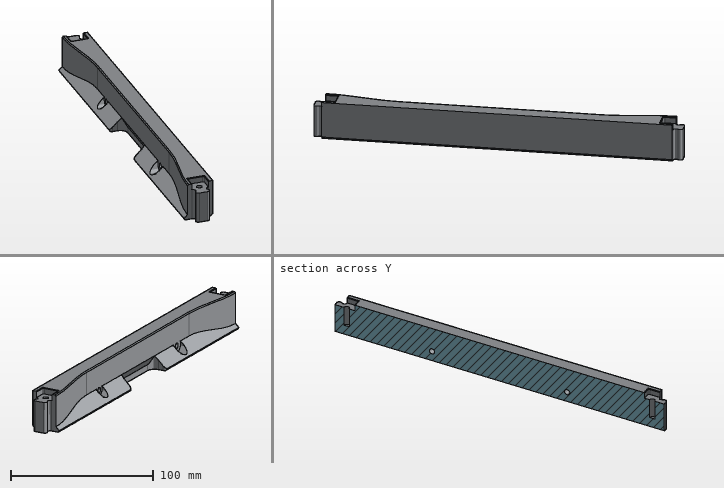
import cadquery as cq
import math


overall_length = 263.86
depth = 21.59
height = 27.5
body_half = 125.2
flat_half = 71.4

web_depth = 12.6
end_depth = 19.0
top_chamfer = 0.8
back_chamfer = 1.6

slope_top = 10.0
lip_height = 1.4
lip_undercut = 0.8
gap_half = 23.5
gap_depth = 10.0
gap_wall_height = 4.6
gap_corner_radius = 5.6
flange_corner_radius = 2.3

screw_x = 54.1
screw_z = 8.0
hole_diameter = 3.9
screw_hole_depth = 9.0
left_seat_diameter = 8.3
right_seat_diameter = 10.4

coupling_y = -9.4
pocket_floor = 22.9
pocket_width = 12.4
pocket_length = 9.0
pocket_corner = 1.0
pocket_chamfer = 0.5
pin_hole_inset = 2.8
pin_hole_y = -9.0
pin_hole_depth = 15.0
tab_flat_half = 3.2
tab_radius = 2.0
tab_overlap = 1.0


def mirrored_pair(solid):
    """Return the solid joined with its mirror image across the YZ plane."""
    return solid.union(solid.mirror("YZ"))


def make_web():
    """Tall bar whose front face swells outward in an S-curve at both ends."""
    along = (1, 0)
    web = (
        cq.Workplane("XY")
        .moveTo(-body_half, 0)
        .lineTo(-body_half, -end_depth)
        .spline([(-flat_half, -web_depth)], tangents=[along, along], includeCurrent=True)
        .lineTo(flat_half, -web_depth)
        .spline([(body_half, -end_depth)], tangents=[along, along], includeCurrent=True)
        .lineTo(body_half, 0)
        .close()
        .extrude(height)
    )
    front_top_edges = web.faces(">Z").edges("not |Y").edges("not >Y")
    return front_top_edges.chamfer(top_chamfer)


def make_flange():
    """Front foot with a sloping top, interrupted in the middle by a gap."""
    profile = (
        cq.Workplane("YZ")
        .moveTo(-gap_depth, 0)
        .lineTo(-depth + lip_undercut, 0)
        .lineTo(-depth, lip_height)
        .lineTo(-web_depth, slope_top)
        .lineTo(-gap_depth, slope_top)
        .close()
        .extrude(body_half)
    )
    plan = (
        cq.Workplane("XY")
        .moveTo(body_half, 0)
        .lineTo(body_half, -depth)
        .lineTo(gap_half + flange_corner_radius, -depth)
        .radiusArc((gap_half, -depth + flange_corner_radius), flange_corner_radius)
        .lineTo(gap_half, -gap_depth - gap_corner_radius)
        .lineTo(0, -gap_depth - gap_corner_radius)
        .lineTo(0, 0)
        .close()
        .extrude(slope_top)
    )
    return mirrored_pair(profile.intersect(plan))


def make_gap_recess():
    """Undercut below the web in the gap, with a sloping roof and rounded inner corners."""
    wall_half = gap_half - gap_corner_radius
    corner_end = -gap_depth - gap_corner_radius
    plan = (
        cq.Workplane("XY")
        .moveTo(-gap_half, -depth)
        .lineTo(-gap_half, corner_end)
        .radiusArc((-wall_half, -gap_depth), gap_corner_radius)
        .lineTo(wall_half, -gap_depth)
        .radiusArc((gap_half, corner_end), gap_corner_radius)
        .lineTo(gap_half, -depth)
        .close()
        .extrude(slope_top)
    )
    below_roof = (
        cq.Workplane("YZ", origin=(-gap_half, 0, 0))
        .moveTo(-gap_depth, 0)
        .lineTo(-gap_depth, gap_wall_height)
        .lineTo(-web_depth, slope_top)
        .lineTo(-depth, slope_top)
        .lineTo(-depth, 0)
        .close()
        .extrude(2 * gap_half)
    )
    return plan.intersect(below_roof)


def make_tab():
    """Coupling tab at the +X end: flat nose, round lobes and concave necks down to the body."""
    nose = overall_length / 2
    lobe = (nose - tab_radius, tab_flat_half)
    neck_x = body_half + tab_radius
    neck_y = lobe[1] + math.sqrt((2 * tab_radius) ** 2 - (lobe[0] - neck_x) ** 2)
    junction = ((lobe[0] + neck_x) / 2, (lobe[1] + neck_y) / 2)
    return (
        cq.Workplane("XY", origin=(0, coupling_y, 0))
        .moveTo(body_half - tab_overlap, -neck_y)
        .lineTo(body_half, -neck_y)
        .radiusArc((junction[0], -junction[1]), tab_radius)
        .radiusArc((nose, -tab_flat_half), -tab_radius)
        .lineTo(nose, tab_flat_half)
        .radiusArc(junction, -tab_radius)
        .radiusArc((body_half, neck_y), tab_radius)
        .lineTo(body_half - tab_overlap, neck_y)
        .close()
        .extrude(pocket_floor)
    )


def make_end_pocket():
    """Open-ended pocket above the tab at the +X end, with a chamfered rim."""
    rim_height = height - pocket_chamfer
    pocket = (
        cq.Workplane("XY", origin=(body_half, coupling_y, pocket_floor))
        .rect(2 * pocket_length, pocket_width)
        .extrude(height - pocket_floor)
        .edges("|Z")
        .fillet(pocket_corner)
    )
    rim = (
        cq.Workplane("XY", origin=(body_half, coupling_y, rim_height))
        .rect(2 * pocket_length, pocket_width)
        .workplane(offset=pocket_chamfer)
        .rect(2 * (pocket_length + pocket_chamfer), pocket_width + 2 * pocket_chamfer)
        .loft()
    )
    return pocket.union(rim)


def make_pin_hole():
    """Blind vertical hole in the pocket floor at the +X end."""
    return (
        cq.Workplane("XY", origin=(body_half - pin_hole_inset, pin_hole_y, pocket_floor))
        .circle(hole_diameter / 2)
        .extrude(-pin_hole_depth)
    )


def make_screw_seat(x, seat_diameter):
    """Blind screw hole in the web, with a round seat cleared through the flange in front of it."""
    face = cq.Workplane("XZ", origin=(x, -web_depth, screw_z))
    seat = face.circle(seat_diameter / 2).extrude(depth - web_depth)
    hole = face.circle(hole_diameter / 2).extrude(-screw_hole_depth)
    return seat.union(hole)


body = make_web().union(make_flange())
bottom_back_edge = cq.selectors.NearestToPointSelector((0, 0, 0))
body = body.edges(bottom_back_edge).chamfer(back_chamfer)
body = body.cut(make_gap_recess())
body = body.cut(mirrored_pair(make_end_pocket()))
body = body.union(mirrored_pair(make_tab()))
body = body.cut(mirrored_pair(make_pin_hole()))
body = body.cut(make_screw_seat(-screw_x, left_seat_diameter))
result = body.cut(make_screw_seat(screw_x, right_seat_diameter))